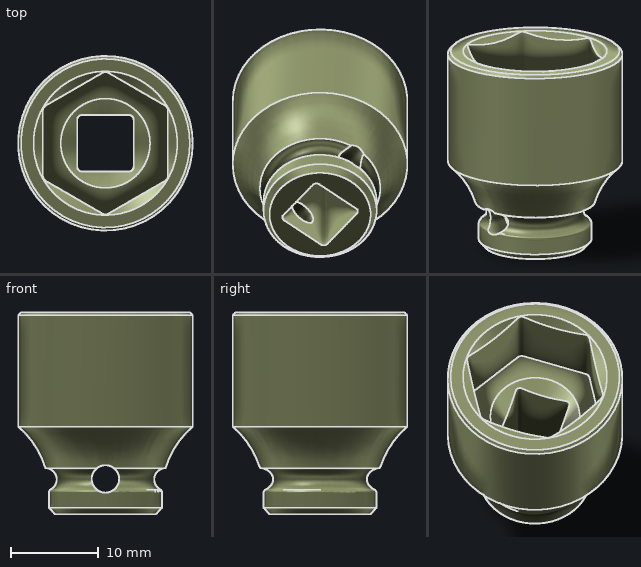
import cadquery as cq
import math

height = 23.0
body_diameter = 19.9
body_radius = body_diameter / 2
rim_chamfer = 0.35
body_bottom_z = 9.98

flare_radius = 10.0
flare_end_radius = 6.85

groove_top_z = 5.25
groove_bottom_z = 2.8
groove_floor_radius = 5.57
groove_floor_z = 4.02
groove_bottom_radius = 6.3
lip_start_z = 2.44
lip_round_radius = 0.41

collar_radius = 6.45
collar_end_radius = 5.75
collar_chamfer_height = 0.75

hex_sides = 6
hex_across_flats = 14.21
hex_corner_round = 0.7
hex_depth = 8.97
lead_in_radius = 8.19
lead_in_angle = 60.0

recess_radius = 5.08
recess_angle = 70.0
square_side = 6.4
square_corner_round = 0.5

pin_hole_diameter = 3.1
pin_hole_z = groove_floor_z

hex_floor_z = height - hex_depth


def outer_body():
    profile = (
        cq.Workplane("XZ")
        .lineTo(collar_end_radius, 0)
        .lineTo(collar_radius, collar_chamfer_height)
        .lineTo(collar_radius, lip_start_z)
        .radiusArc((groove_bottom_radius, groove_bottom_z), -lip_round_radius)
        .threePointArc((groove_floor_radius, groove_floor_z), (flare_end_radius, groove_top_z))
        .radiusArc((body_radius, body_bottom_z), flare_radius)
        .lineTo(body_radius, height - rim_chamfer)
        .lineTo(body_radius - rim_chamfer, height)
        .lineTo(0, height)
        .close()
    )
    return profile.revolve(360, (0, 0, 0), (0, 1, 0))


def downward_cone(radius, top_z, angle):
    """Full cone with its base at top_z and its tip on the axis below."""
    tip_z = top_z - radius / math.tan(math.radians(angle))
    profile = cq.Workplane("XZ").moveTo(0, tip_z).lineTo(radius, top_z).lineTo(0, top_z).close()
    return profile.revolve(360, (0, 0, 0), (0, 1, 0))


def hexagon_socket():
    corner_diameter = hex_across_flats / math.cos(math.pi / hex_sides)
    return (
        cq.Workplane("XY", origin=(0, 0, hex_floor_z))
        .polygon(hex_sides, corner_diameter)
        .extrude(hex_depth)
        .edges("|Z")
        .fillet(hex_corner_round)
        .rotate((0, 0, 0), (0, 0, 1), 90)
    )


def square_drive():
    return (
        cq.Workplane("XY")
        .rect(square_side, square_side)
        .extrude(hex_floor_z)
        .edges("|Z")
        .fillet(square_corner_round)
    )


def pin_hole():
    return (
        cq.Workplane("XZ", origin=(0, 0, pin_hole_z))
        .circle(pin_hole_diameter / 2)
        .extrude(body_radius, both=True)
    )


lead_in = downward_cone(lead_in_radius, height, lead_in_angle)
recess = downward_cone(recess_radius, hex_floor_z, recess_angle)

result = (
    outer_body()
    .cut(hexagon_socket())
    .cut(lead_in)
    .cut(recess)
    .cut(square_drive())
    .cut(pin_hole())
)